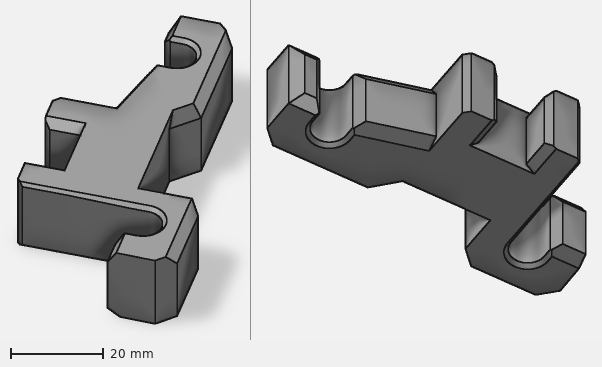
import cadquery as cq
import math

width = 40.0
length = 80.0
height = 18.0

slot_width = 8.4
slot_radius = slot_width / 2
slot_bevel = 1.0
upper_slot_x = 21.4
upper_slot_y = 68.0
upper_mouth_x = 18.7
lower_slot_x = 29.9
lower_slot_y = 12.2
lower_mouth_x = 27.4

arm_corner = 1.4
upper_arm_top = 46.6
upper_arm_bottom = 37.8
lower_arm_top = 25.6
lower_arm_bottom = 16.6
web_left = 9.0
web_right = 25.9
taper_start_x = 11.9
taper_end_x = 25.8

hook_corner = 3.8
upper_hook_right = 31.5
upper_hook_top_left = 18.9
upper_tip_x = 16.9
upper_tip_top = 77.1
upper_tip_bottom = 74.1
shoulder_y = 51.9
lower_hook_top = 24.2
lower_tip_x = 25.4
lower_tip_y = 6.1
lower_tip_rise = 0.2

leg_top = (16.2, 61.9)
leg_foot = (12.1, upper_arm_top)

hook_bevel = (2.0, 3.0)
arm_bevel = (2.1, 1.9)
base_bevel = (2.9, 1.9)
slot_edge_bevel = (slot_bevel, slot_bevel)
overrun = 4.0

upper_slot_top = upper_slot_y + slot_radius
upper_slot_bottom = upper_slot_y - slot_radius
lower_slot_top = lower_slot_y + slot_radius
lower_slot_bottom = lower_slot_y - slot_radius
shoulder = (upper_hook_right, shoulder_y)
shoulder_foot = (web_right, upper_arm_top)


def make_body():
    """Extrude the plan outline, followed clockwise from the upper hook."""
    outline = (
        cq.Workplane("XY")
        .moveTo(upper_hook_top_left, length)
        .lineTo(upper_hook_right - hook_corner, length)
        .lineTo(upper_hook_right, length - hook_corner)
        .lineTo(*shoulder)
        .lineTo(*shoulder_foot)
        .lineTo(web_right, lower_hook_top)
        .lineTo(width - hook_corner, lower_hook_top)
        .lineTo(width, lower_hook_top - hook_corner)
        .lineTo(width, hook_corner)
        .lineTo(width - hook_corner, 0)
        .lineTo(lower_tip_x, lower_tip_rise)
        .lineTo(lower_tip_x, lower_tip_y)
        .lineTo(lower_mouth_x, lower_slot_bottom)
        .lineTo(lower_slot_x, lower_slot_bottom)
        .threePointArc((lower_slot_x + slot_radius, lower_slot_y), (lower_slot_x, lower_slot_top))
        .lineTo(taper_end_x, lower_slot_top)
        .lineTo(taper_start_x, lower_arm_bottom)
        .lineTo(arm_corner, lower_arm_bottom)
        .lineTo(0, lower_arm_bottom + arm_corner)
        .lineTo(0, lower_arm_top - arm_corner)
        .lineTo(arm_corner, lower_arm_top)
        .lineTo(web_left, lower_arm_top)
        .lineTo(web_left, upper_arm_bottom)
        .lineTo(arm_corner, upper_arm_bottom)
        .lineTo(0, upper_arm_bottom + arm_corner)
        .lineTo(0, upper_arm_top - arm_corner)
        .lineTo(arm_corner, upper_arm_top)
        .lineTo(*leg_foot)
        .lineTo(*leg_top)
        .lineTo(upper_mouth_x, upper_slot_bottom)
        .lineTo(upper_slot_x, upper_slot_bottom)
        .threePointArc((upper_slot_x + slot_radius, upper_slot_y), (upper_slot_x, upper_slot_top))
        .lineTo(upper_mouth_x, upper_slot_top)
        .lineTo(upper_tip_x, upper_tip_bottom)
        .lineTo(upper_tip_x, upper_tip_top)
        .close()
    )
    return outline.extrude(height)


def bevel_cutter(start, end, bevel, on_top, before=0.0, after=0.0):
    """Wedge along the edge start-end, with the material to the left of travel."""
    across, down = bevel
    run_x = end[0] - start[0]
    run_y = end[1] - start[1]
    run = math.hypot(run_x, run_y)
    step_x = run_x / run
    step_y = run_y / run
    face_z = height if on_top else 0.0
    drop = -down if on_top else down
    edge_plane = cq.Plane(
        origin=(start[0] - before * step_x, start[1] - before * step_y, face_z),
        xDir=(-step_y, step_x, 0),
        normal=(step_x, step_y, 0),
    )
    return (
        cq.Workplane(edge_plane)
        .polyline([(across, 0), (0, drop), (-across, 2 * drop), (-across, 0)])
        .close()
        .extrude(run + before + after)
    )


def slot_end_cutter(x, y, on_top):
    """Cone that bevels the rim of a slot's round end."""
    face_z = height if on_top else 0.0
    inward = -1 if on_top else 1
    cone = cq.Solid.makeCone(
        slot_radius + slot_bevel,
        slot_radius,
        slot_bevel,
        pnt=cq.Vector(x, y, face_z),
        dir=cq.Vector(0, 0, inward),
    )
    return cq.Workplane(cone)


def clip_box(x, y):
    """Region to the right of x and above y, used to stop a wedge at a wall."""
    region = cq.Workplane("XY").box(width, length, 3 * height, centered=(False, False, True))
    return region.translate((x, y, 0))


result = make_body()

for on_top in (True, False):
    result = result.cut(
        bevel_cutter((0, upper_arm_bottom), (web_left, upper_arm_bottom), arm_bevel, on_top)
    )
    result = result.cut(bevel_cutter((web_left, lower_arm_top), (0, lower_arm_top), arm_bevel, on_top))

    result = result.cut(
        bevel_cutter((upper_tip_x, length), (upper_tip_x, upper_slot_y), hook_bevel, on_top)
    )

    tip_bevel = hook_bevel if on_top else base_bevel
    leg_cutter = bevel_cutter(leg_top, leg_foot, tip_bevel, on_top, before=overrun, after=overrun)
    result = result.cut(leg_cutter.intersect(clip_box(0, upper_arm_top)))
    result = result.cut(
        bevel_cutter((lower_tip_x, lower_slot_y), (lower_tip_x, 0), tip_bevel, on_top)
    )

    slot_edges = [
        ((upper_tip_x, upper_slot_top), (upper_slot_x, upper_slot_top)),
        ((upper_slot_x, upper_slot_bottom), (leg_top[0], upper_slot_bottom)),
        ((lower_slot_x, lower_slot_bottom), (lower_tip_x, lower_slot_bottom)),
        ((0, lower_slot_top), (lower_slot_x, lower_slot_top)),
    ]
    for start, end in slot_edges:
        result = result.cut(bevel_cutter(start, end, slot_edge_bevel, on_top))
    result = result.cut(slot_end_cutter(upper_slot_x, upper_slot_y, on_top))
    result = result.cut(slot_end_cutter(lower_slot_x, lower_slot_y, on_top))

right_edges = [
    ((upper_hook_right, shoulder_y - overrun), (upper_hook_right, length)),
    ((width, 0), (width, lower_hook_top)),
    ((width, lower_hook_top), (web_right, lower_hook_top)),
]
for start, end in right_edges:
    result = result.cut(bevel_cutter(start, end, hook_bevel, True))
shoulder_cutter = bevel_cutter(shoulder_foot, shoulder, hook_bevel, True, before=overrun, after=overrun)
result = result.cut(shoulder_cutter.intersect(clip_box(web_right, 0)))